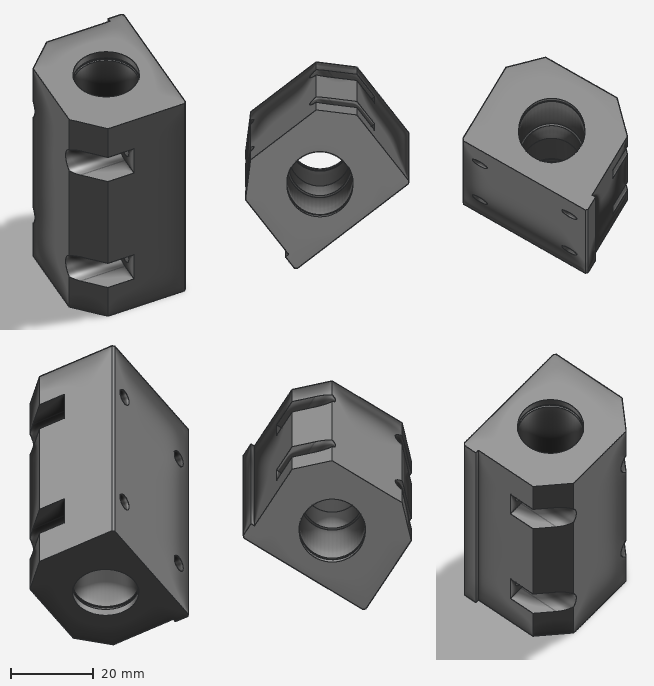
import cadquery as cq

length = 62.0
width = 35.0
depth = 28.0
back_y = 13.0
front_y = back_y - depth
half_width = width / 2

lip_projection = 1.0
lip_thickness = 4.0

front_bevel = 7.0
back_bevel = 0.5

bore_diameter = 15.0
seat_diameter = 16.0
groove_diameter = 16.9
groove_offset = 2.0
groove_width = 1.0
seat_depth = 24.8

hole_diameter = 4.15
hole_spacing_x = 25.05
hole_spacing_z = 35.0
slot_width = 8.0
slot_depth = 14.0


def block():
    """Extrude the bevelled outline with its lip along Z."""
    body_left = lip_projection - half_width
    outline = [
        (-half_width + back_bevel, back_y),
        (half_width - back_bevel, back_y),
        (half_width, back_y - back_bevel),
        (half_width, front_y + front_bevel),
        (half_width - front_bevel, front_y),
        (body_left + front_bevel, front_y),
        (body_left, front_y + front_bevel),
        (body_left, back_y - lip_thickness),
        (-half_width, back_y - lip_thickness),
        (-half_width, back_y - back_bevel),
    ]
    return cq.Workplane("XY").polyline(outline).close().extrude(length / 2, both=True)


def disc(diameter, bottom, height):
    """Cylinder on the bore axis."""
    return cq.Workplane("XY").workplane(offset=bottom).circle(diameter / 2).extrude(height)


def bore_cutter():
    """Through bore with the seat and ring groove at both ends."""
    top = length / 2
    seat = disc(seat_diameter, top - seat_depth, seat_depth)
    groove = disc(groove_diameter, top - groove_offset - groove_width, groove_width)
    end_cut = seat.union(groove)
    return disc(bore_diameter, -top, length).union(end_cut).union(end_cut.mirror("XY"))


def mounting_cutter(side, z):
    """Through hole and side-open slot; side is -1 for -X and +1 for +X."""
    hole_x = side * hole_spacing_x / 2
    front_plane = cq.Workplane("XZ", origin=(hole_x, front_y, z))
    hole = front_plane.circle(hole_diameter / 2).extrude(-depth)
    round_end = front_plane.circle(slot_width / 2).extrude(-slot_depth)
    open_end = front_plane.center(side * half_width / 2, 0).rect(half_width, slot_width).extrude(-slot_depth)
    return hole.union(round_end).union(open_end)


result = block().cut(bore_cutter())
for side in (-1, 1):
    for z in (-hole_spacing_z / 2, hole_spacing_z / 2):
        result = result.cut(mounting_cutter(side, z))